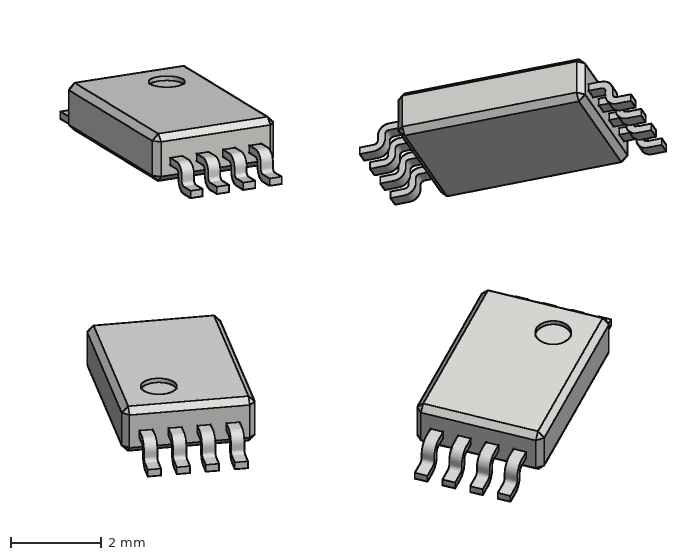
import cadquery as cq

SPAN = 6.4
TOP_Z = 1.2

HOUSING_X = 4.4
HOUSING_Y = 3.0
STANDOFF = 0.1
HOUSING_CHAMFER = 0.15

LEADS = 4
LEAD_PITCH = 0.65
LEAD_WIDTH = 0.3
LEAD_THICKNESS = 0.17
LEAD_TOP_Z = 0.65
FOOT_FLAT = 0.33
INNER_BEND = 0.095
OUTER_BEND = INNER_BEND + LEAD_THICKNESS

MARK_DIAMETER = 0.8
MARK_INSET = 1.0
MARK_RECESS = 0.1
MARK_THICKNESS = 0.05
MARK_X = MARK_INSET - HOUSING_X / 2
MARK_Y = HOUSING_Y / 2 - MARK_INSET
MARK_FLOOR_Z = TOP_Z - MARK_RECESS - MARK_THICKNESS

lead_rows = [(i - (LEADS - 1) / 2) * LEAD_PITCH for i in range(LEADS)]


def mark_cylinder(height):
    """Cylinder of the mark diameter that stands on the recess floor."""
    return (
        cq.Workplane("XY", origin=(MARK_X, MARK_Y, MARK_FLOOR_Z))
        .circle(MARK_DIAMETER / 2)
        .extrude(height)
    )


def make_half_lead():
    """Left half of a lead centred on Y = 0: foot, two opposite bends and a straight run to X = 0."""
    tip_x = -SPAN / 2
    lower_bend_x = tip_x + FOOT_FLAT
    riser_left_x = lower_bend_x + INNER_BEND
    riser_right_x = riser_left_x + LEAD_THICKNESS
    upper_bend_x = riser_left_x + OUTER_BEND
    run_under_z = LEAD_TOP_Z - LEAD_THICKNESS
    riser_bottom_z = OUTER_BEND
    riser_top_z = LEAD_TOP_Z - OUTER_BEND
    profile = (
        cq.Workplane("XZ")
        .moveTo(tip_x, 0)
        .lineTo(lower_bend_x, 0)
        .radiusArc((riser_right_x, riser_bottom_z), -OUTER_BEND)
        .lineTo(riser_right_x, riser_top_z)
        .radiusArc((upper_bend_x, run_under_z), INNER_BEND)
        .lineTo(0, run_under_z)
        .lineTo(0, LEAD_TOP_Z)
        .lineTo(upper_bend_x, LEAD_TOP_Z)
        .radiusArc((riser_left_x, riser_top_z), -OUTER_BEND)
        .lineTo(riser_left_x, riser_bottom_z)
        .radiusArc((lower_bend_x, LEAD_THICKNESS), INNER_BEND)
        .lineTo(tip_x, LEAD_THICKNESS)
        .close()
    )
    return profile.extrude(LEAD_WIDTH / 2, both=True)


def make_lead(row_y):
    """One complete lead, symmetric about X = 0, in the row at row_y."""
    left_half = make_half_lead()
    right_half = left_half.mirror("YZ")
    return left_half.union(right_half).clean().translate((0, row_y, 0))


def make_housing(leads):
    """Chamfered block with the mark recess and a slot that fits each lead."""
    block_height = TOP_Z - STANDOFF
    housing = (
        cq.Workplane("XY", origin=(0, 0, STANDOFF))
        .box(HOUSING_X, HOUSING_Y, block_height, centered=(True, True, False))
        .edges()
        .chamfer(HOUSING_CHAMFER)
    )
    housing = housing.cut(mark_cylinder(MARK_RECESS + MARK_THICKNESS))
    for lead in leads:
        housing = housing.cut(lead)
    return housing


leads = [make_lead(row_y) for row_y in lead_rows]
housing = make_housing(leads)
pin_mark = mark_cylinder(MARK_THICKNESS)

result = cq.Compound.makeCompound([housing.val(), pin_mark.val(), *[lead.val() for lead in leads]])